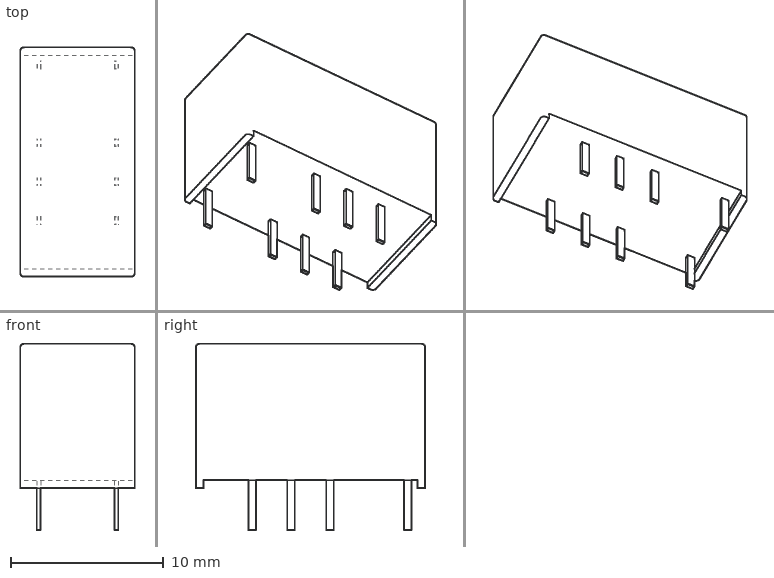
import cadquery as cq

width = 7.5
length = 15.0
overall_height = 12.2
edge_radius = 0.25

foot_length = 0.51
foot_height = 0.51

pin_drop = 2.76
pin_thickness = 0.25
pin_width = 0.51
pin_tip_chamfer = 0.03
row_spacing = 5.08
pitch = row_spacing / 2
pin_steps = (-1.5, -0.5, 0.5, 2.5)

body_height = overall_height - pin_drop
pin_length = pin_drop + foot_height


def make_housing():
    """Block standing on Z = 0, rounded on its vertical and top edges."""
    block = cq.Workplane("XY").box(width, length, body_height, centered=(True, True, False))
    block = block.edges("|Z or >Z").fillet(edge_radius)
    channel = cq.Workplane("XY").box(
        width, length - 2 * foot_length, foot_height, centered=(True, True, False)
    )
    return block.cut(channel)


def make_pins():
    """Two rows of flat pins hanging from the channel floor."""
    places = [(side * row_spacing / 2, step * pitch) for side in (-1, 1) for step in pin_steps]
    return (
        cq.Workplane("XY")
        .workplane(offset=foot_height)
        .pushPoints(places)
        .rect(pin_thickness, pin_width)
        .extrude(-pin_length)
        .faces("<Z")
        .edges()
        .chamfer(pin_tip_chamfer)
    )


result = make_housing().union(make_pins())